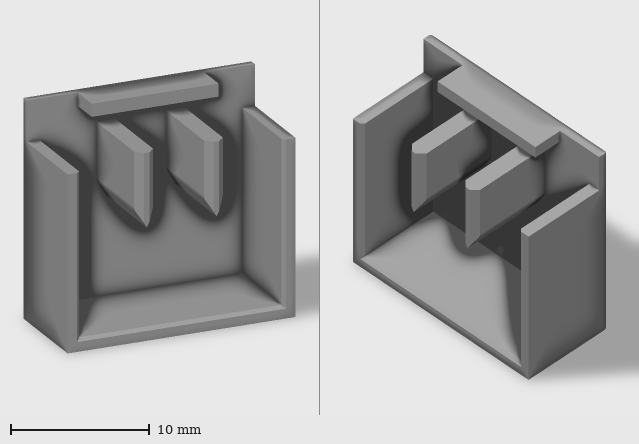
import cadquery as cq

DEPTH = 8.15
WIDTH = 18.0
HEIGHT = 17.0

THICKNESS = 1.0
FACE_FILLET = 0.5
TRAY_TOP = HEIGHT - 3.2
RIM_CHAMFER = 0.25

TAB_LENGTH = 2.5
TAB_WIDTH = 10.0

RIB_TOP = HEIGHT - 2.5
RIB_SPACING = 5.5
RIB_WIDTH = 1.5
RIB_TIP_CHAMFER = 0.54
RIB_SIDE_HEIGHT = 4.35
RIB_SHOULDER_INSET = 0.07
RIB_SHOULDER_HEIGHT = 0.23
RIB_POINT_HEIGHT = 1.17


def block(x_start, x_end, width, z_start, z_end):
    """Box centred on Y between the given X and Z limits."""
    size = (x_end - x_start, width, z_end - z_start)
    return cq.Workplane("XY").box(*size, centered=(False, True, False)).translate((x_start, 0, z_start))


def face_plate():
    """Front plate with a rounded border on its outer face."""
    plate = block(0, THICKNESS, WIDTH, 0, HEIGHT)
    return plate.faces("<X").edges().fillet(FACE_FILLET)


def tray():
    """Floor and two side walls, open at the top and at the back."""
    body = block(THICKNESS, DEPTH, WIDTH, 0, TRAY_TOP)
    cavity = block(THICKNESS, DEPTH, WIDTH - 2 * THICKNESS, THICKNESS, TRAY_TOP)
    mouth_bottom = THICKNESS - RIM_CHAMFER
    mouth = (
        cq.Workplane("YZ", origin=(DEPTH, 0, 0))
        .center(0, (mouth_bottom + TRAY_TOP) / 2)
        .rect(WIDTH - 2 * mouth_bottom, TRAY_TOP - mouth_bottom)
        .workplane(offset=-RIM_CHAMFER)
        .center(0, RIM_CHAMFER / 2)
        .rect(WIDTH - 2 * THICKNESS, TRAY_TOP - THICKNESS)
        .loft(ruled=True)
    )
    return body.cut(cavity).cut(mouth)


def rib(y_centre):
    """Rib with chamfered back corners and an underside that tapers to an edge."""
    half = RIB_WIDTH / 2
    shoulder_half = half - RIB_SHOULDER_INSET
    side_bottom = RIB_TOP - RIB_SIDE_HEIGHT
    shoulder_bottom = side_bottom - RIB_SHOULDER_HEIGHT
    section = [
        (-half, RIB_TOP),
        (half, RIB_TOP),
        (half, side_bottom),
        (shoulder_half, shoulder_bottom),
        (0, shoulder_bottom - RIB_POINT_HEIGHT),
        (-shoulder_half, shoulder_bottom),
        (-half, side_bottom),
    ]
    length = DEPTH - THICKNESS
    bar = cq.Workplane("YZ", origin=(THICKNESS, y_centre, 0)).polyline(section).close().extrude(length)
    plan = (
        cq.Workplane("XY", origin=(THICKNESS + length / 2, y_centre, 0))
        .rect(length, RIB_WIDTH)
        .extrude(HEIGHT)
        .edges("|Z and >X")
        .chamfer(RIB_TIP_CHAMFER)
    )
    return bar.intersect(plan)


tab = block(THICKNESS, THICKNESS + TAB_LENGTH, TAB_WIDTH, HEIGHT - THICKNESS, HEIGHT)

result = face_plate().union(tray()).union(tab)
for side in (-1, 1):
    result = result.union(rib(side * RIB_SPACING / 2))